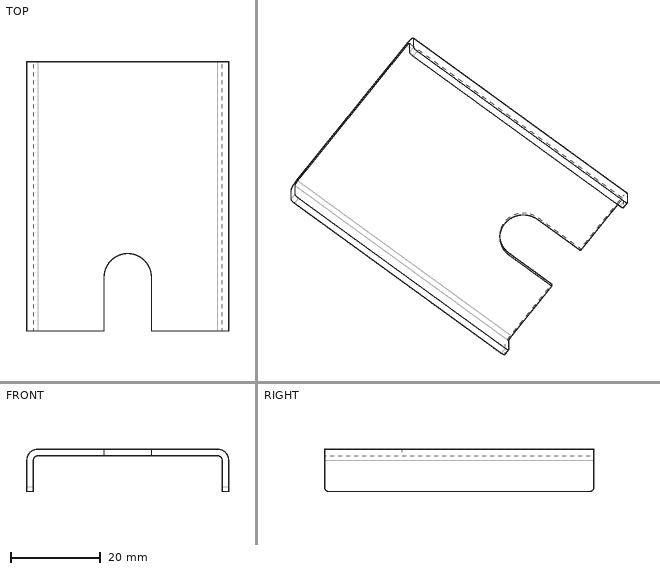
import cadquery as cq

width = 45.0
length = 60.0
height = 9.5

thickness = 1.5
inner_bend_radius = 1.0
outer_bend_radius = inner_bend_radius + thickness

flange_corner_radius = 1.0

slot_width = 10.5
slot_depth = 17.25


def arched_block(block_width, block_height, bend_radius):
    """Block standing on Z = 0 with its two long top edges rounded."""
    block = cq.Workplane("XY").box(block_width, length, block_height, centered=(True, True, False))
    return block.faces(">Z").edges("|Y").fillet(bend_radius)


def folded_channel():
    """Sheet channel: top plate with a flange bent down along each side."""
    outside = arched_block(width, height, outer_bend_radius)
    inside = arched_block(width - 2 * thickness, height - thickness, inner_bend_radius)
    return outside.cut(inside)


def round_flange_corners(channel):
    """Round the lower front and back corners of both flanges."""
    lower_corners = channel.faces("<Z").edges("|X")
    return lower_corners.fillet(flange_corner_radius)


def front_slot():
    """Cutter for the slot, running from the front edge to its round end."""
    half_width = slot_width / 2
    front = -length / 2
    arc_start = front + slot_depth - half_width
    return (
        cq.Workplane("XY")
        .moveTo(-half_width, front)
        .lineTo(half_width, front)
        .lineTo(half_width, arc_start)
        .threePointArc((0, front + slot_depth), (-half_width, arc_start))
        .close()
        .extrude(height)
    )


result = round_flange_corners(folded_channel()).cut(front_slot())